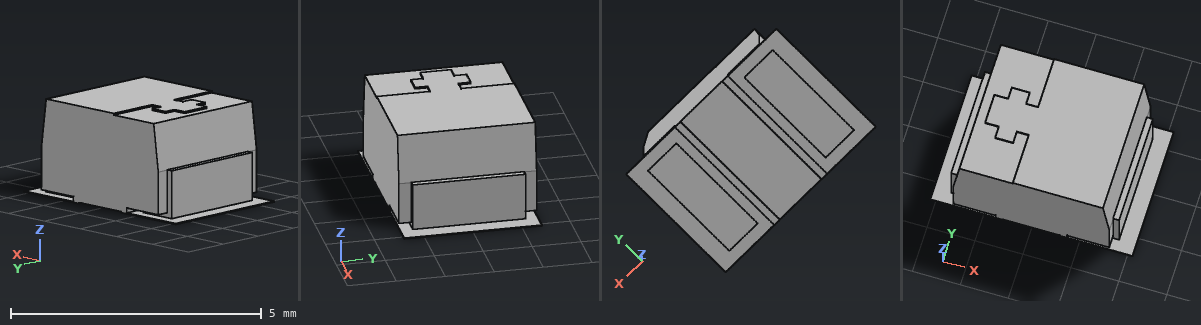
import cadquery as cq

overall_length = 4.22
part_width = 2.82
pad_thickness = 0.02
pad_gap = 1.175

overall_height = 2.0
body_length = 3.25
body_top_length = 2.988
terminal_top = 1.0
body_bottom = 0.122

foot_length = 1.485

terminal_thickness = 0.125
terminal_width = 2.305
terminal_outer_x = body_length / 2 + terminal_thickness
terminal_inner_x = 0.955

step_height = 0.035
step_x = -0.39
cross_tip_x = -1.3
cross_bar_width = 0.635
cross_arm_start_x = -1.013
cross_arm_end_x = -0.637
cross_span = 1.14


def block(x_start, x_end, width, z_start, z_end):
    """Box centred on Y, with the given extents along X and Z."""
    return cq.Workplane("XY").box(
        x_end - x_start, width, z_end - z_start, centered=(False, True, False)
    ).translate((x_start, 0, z_start))


def make_body():
    half_length = body_length / 2
    half_top = body_top_length / 2
    profile = [
        (-half_length, body_bottom),
        (half_length, body_bottom),
        (half_length, terminal_top),
        (half_top, overall_height),
        (-half_top, overall_height),
        (-half_length, terminal_top),
    ]
    body = cq.Workplane("XZ").polyline(profile).close().extrude(part_width / 2, both=True)
    foot = block(-foot_length / 2, foot_length / 2, part_width, pad_thickness, body_bottom)
    return body.union(foot)


def make_top_recess():
    """Shallow layer removed from the -X end of the top, leaving the cross raised."""
    recess_floor = overall_height - step_height
    recess = block(-body_length / 2, step_x, part_width, recess_floor, overall_height)
    cross_bar = block(cross_tip_x, step_x, cross_bar_width, recess_floor, overall_height)
    cross_arms = block(cross_arm_start_x, cross_arm_end_x, cross_span, recess_floor, overall_height)
    return recess.cut(cross_bar).cut(cross_arms)


def make_terminal():
    """Terminal at the +X end, with its lower leg folded under the body."""
    upright = block(body_length / 2, terminal_outer_x, terminal_width, pad_thickness, terminal_top)
    leg = block(terminal_inner_x, terminal_outer_x, terminal_width, pad_thickness, body_bottom)
    return upright.union(leg)


def make_pad():
    """Solder pad at the +X end."""
    return block(pad_gap / 2, overall_length / 2, part_width, 0, pad_thickness)


contact = make_terminal().union(make_pad())
result = make_body().cut(make_top_recess()).union(contact).union(contact.mirror("YZ"))